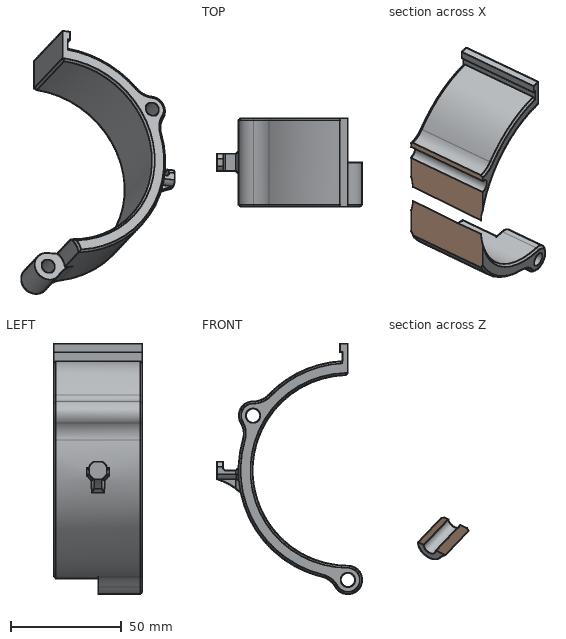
import cadquery as cq
import math

bore_radius = 43.0
ring_radius = 49.4
width = 40.0
half_width = width / 2
edge_chamfer = 1.0

lug_radius = ring_radius - bore_radius
hole_radius = 3.2
lug_blend_radius = 9.6
upper_lug_angle = 150
lower_lug_angle = 270
lug_gap_radius = 7.9

tab_top = 57.2
tab_root = 45.2
neck_thickness = 2.5
hook_thickness = 3.6
hook_height = 3.8

peg_tip_x = -59.1
peg_head_length = 2.8
peg_radius = 4.3
peg_half_flat = 4.0
peg_corner_chamfer = 0.9
peg_end_x = -48.0
flare_x = -50.5
flare_length = 2.3
rib_half_width = 1.7
rib_middle = (-52.7, -6.8)
rib_foot = (-48.2, -10.1)
foot_widening = 1.2
flare_bottom = -8.4


def polar(radius, angle):
    turn = math.radians(angle)
    return radius * math.cos(turn), radius * math.sin(turn)


def cylinder(center, radius, y_start, y_end):
    """Cylinder along Y, centred at an (x, z) point."""
    plane = cq.Workplane("XZ", origin=(0, y_end, 0))
    return plane.center(*center).circle(radius).extrude(y_end - y_start)


def box(x_range, y_range, z_range):
    ranges = (x_range, y_range, z_range)
    sizes = [high - low for low, high in ranges]
    corner = tuple(low for low, high in ranges)
    return cq.Workplane("XY").box(*sizes, centered=False).translate(corner)


def distance_from(center, edge):
    """Distance in the XZ plane from an (x, z) point to an edge along Y."""
    middle = edge.Center()
    return math.dist((middle.x, middle.z), center)


def ring_with_lug(center, y_start, y_end):
    """Left half of the ring with a lug blended into its outer surface."""
    disc = cylinder((0, 0), ring_radius, y_start, y_end)
    left = box((-ring_radius, 0), (y_start, y_end), (-ring_radius, ring_radius))
    body = disc.intersect(left)
    body = body.union(cylinder(center, lug_radius, y_start, y_end))
    meets_ring = [
        edge for edge in body.edges("|Y").vals()
        if math.isclose(distance_from((0, 0), edge), ring_radius, abs_tol=0.01)
        and math.isclose(distance_from(center, edge), lug_radius, abs_tol=0.01)
    ]
    body = body.newObject(meets_ring).fillet(lug_blend_radius)
    return body.cut(cylinder((0, 0), bore_radius, y_start, y_end))


upper_lug = polar(ring_radius, upper_lug_angle)
lower_lug = polar(ring_radius, lower_lug_angle)

body = ring_with_lug(upper_lug, -half_width, half_width)
body = body.cut(cylinder(lower_lug, lug_gap_radius, 0, half_width))
body = body.union(ring_with_lug(lower_lug, -half_width, 0))
body = body.faces("<Y or >Y").chamfer(edge_chamfer)


def hooked_tab():
    outline = [
        (0, bore_radius + edge_chamfer),
        (0, tab_top),
        (-hook_thickness, tab_top),
        (-hook_thickness, tab_top - hook_height),
        (-neck_thickness, tab_top - hook_height),
        (-neck_thickness, tab_root),
        (-edge_chamfer, bore_radius + edge_chamfer),
    ]
    return cq.Workplane("XZ", origin=(0, half_width, 0)).polyline(outline).close().extrude(width)


def root_outline(growth, foot_growth, bottom):
    """Section of the peg and rib in (y, z), grown outward all round except at the bottom."""
    drop = growth * math.tan(math.radians(22.5))
    right_side = [
        (peg_half_flat + growth, growth),
        (peg_half_flat + growth, -rib_half_width - drop),
        (rib_half_width + growth, -peg_half_flat - drop),
        (rib_half_width + foot_growth, bottom),
    ]
    left_side = [(-y, z) for y, z in reversed(right_side)]
    return right_side + left_side


def latch_peg():
    bar = cq.Workplane("YZ", origin=(peg_tip_x, 0, 0)).circle(peg_radius).extrude(peg_end_x - peg_tip_x)
    flats = (-peg_half_flat, peg_half_flat)
    bar = bar.intersect(box((peg_tip_x, peg_end_x), flats, flats))
    head_back = peg_tip_x + peg_head_length
    relief = [
        (head_back, peg_radius),
        (head_back, peg_corner_chamfer),
        (head_back + peg_corner_chamfer, 0),
        (peg_end_x, 0),
        (peg_end_x, peg_radius),
    ]
    bar = bar.cut(cq.Workplane("XZ").polyline(relief).close().extrude(peg_radius, both=True))

    rib = (
        cq.Workplane("XZ")
        .moveTo(peg_tip_x, -peg_half_flat)
        .threePointArc(rib_middle, rib_foot)
        .lineTo(peg_end_x, rib_foot[1])
        .lineTo(peg_end_x, -peg_half_flat)
        .close()
        .extrude(rib_half_width, both=True)
    )

    flare = (
        cq.Workplane("YZ", origin=(flare_x, 0, 0))
        .polyline(root_outline(0, 0, flare_bottom))
        .close()
        .workplane(offset=flare_length)
        .polyline(root_outline(flare_length, foot_widening, rib_foot[1]))
        .close()
        .loft(ruled=True)
    )
    return bar.union(rib).union(flare)


body = body.union(hooked_tab()).union(latch_peg())

bevel = [
    (0, bore_radius - 1.1),
    (0, bore_radius + edge_chamfer),
    (-edge_chamfer, bore_radius),
    (-edge_chamfer, bore_radius - 1.1),
]
body = body.cut(cq.Workplane("XZ").polyline(bevel).close().extrude(half_width, both=True))

for lug in (upper_lug, lower_lug):
    body = body.cut(cylinder(lug, hole_radius, -half_width, half_width))

result = body